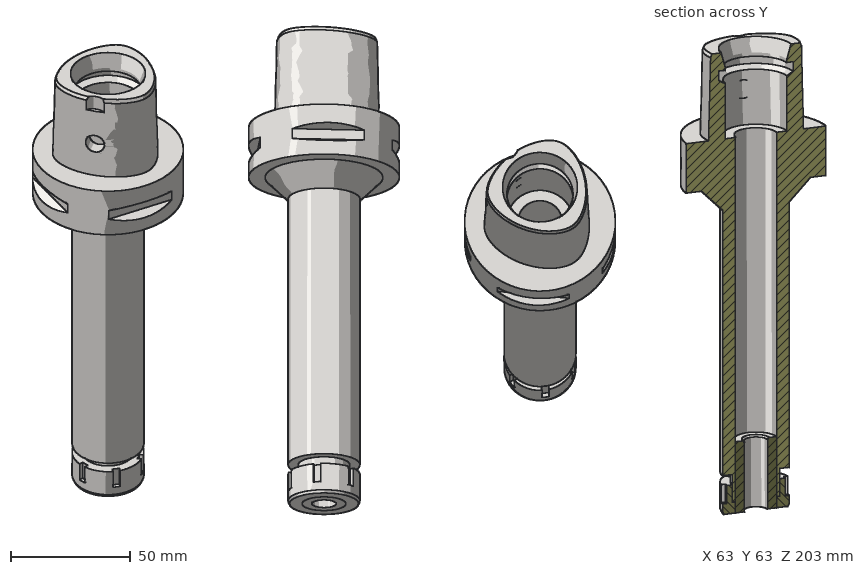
import cadquery as cq
import math

TOTAL_HEIGHT = 203.0
TAPER_LENGTH = 38.0
FLANGE_HEIGHT = 22.0
CONE_HEIGHT = 9.5
NUT_HEIGHT = 12.8
NECK_GAP = 4.3

FLANGE_BOTTOM = TOTAL_HEIGHT - TAPER_LENGTH - FLANGE_HEIGHT
FLANGE_TOP = FLANGE_BOTTOM + FLANGE_HEIGHT
SHANK_TOP = FLANGE_BOTTOM - CONE_HEIGHT
SHANK_BOTTOM = NUT_HEIGHT + NECK_GAP

FLANGE_RADIUS = 31.5
SHANK_RADIUS = 15.0
CONE_RADIUS = SHANK_RADIUS + CONE_HEIGHT
NECK_RADIUS = 10.8

LOBE_BASE_RADIUS = 22.0
LOBE_RISE = 1.5
TAPER_SLOPE = 1 / 40
RIM_CHAMFER_HEIGHT = 1.6
RIM_CHAMFER_WIDTH = 0.6
LOBE_POINTS = 48

MOUTH_RADIUS = 15.6
BORE_RADIUS = 13.8
MOUTH_CONE_DEPTH = 6.5
GROOVE_RADIUS = 16.6
GROOVE_TOP_DEPTH = 8.1
GROOVE_BOTTOM_DEPTH = 12.2
BORE_CONE_END_DEPTH = 13.8
BORE_DEPTH = TAPER_LENGTH
COLLET_RADIUS = 9.1

NOTCH_RADIUS = 5.9
NOTCH_HEIGHT = 6.3
NOTCH_FLOOR_Y = -17.9
PIN_HOLE_RADIUS = 4.0
PIN_HOLE_DROP = 22.3
PIN_HOLE_FLOOR_Y = -14.2

GRIP_COUNT = 4
GRIP_START_ANGLE = 45.0
GRIP_DEPTH = 3.9
GRIP_FLOOR_HEIGHT = 4.3
GRIP_FLARE = 1.8
GRIP_DROP = 12.0

NUT_RADIUS = SHANK_RADIUS
NUT_CHAMFER_HEIGHT = 1.2
NUT_CHAMFER_WIDTH = 0.6
NUT_FLOOR = 4.9
WRENCH_SLOT_COUNT = 6
WRENCH_SLOT_WIDTH = 3.0
WRENCH_SLOT_HEIGHT = 8.0
WRENCH_SLOT_DEPTH = 1.8

COLLET_LENGTH = 31.5
COLLET_BORE_RADIUS = 5.0
COLLET_BORE_CHAMFER = 0.8


def revolve_profile(points):
    """Turn a closed (radius, Z) outline about the Z axis."""
    return cq.Workplane("XZ").polyline(points).close().revolve(360, (0, 0), (0, 1))


def lobe_wire(mean_radius, z):
    """Three-lobed curve of constant width with one lobe pointing to +Y.

    The tangent line with normal angle a lies mean_radius + LOBE_RISE * cos(3 * (a - 90 deg))
    from the axis.
    """
    points = []
    for i in range(LOBE_POINTS):
        turn = 2 * math.pi * i / LOBE_POINTS
        angle = turn - math.pi / 2
        distance = mean_radius - LOBE_RISE * math.cos(3 * turn)
        distance_rate = 3 * LOBE_RISE * math.sin(3 * turn)
        x = distance * math.cos(angle) - distance_rate * math.sin(angle)
        y = distance * math.sin(angle) + distance_rate * math.cos(angle)
        points.append(cq.Vector(x, y, z))
    return cq.Wire.assembleEdges([cq.Edge.makeSpline(points, periodic=True)])


def make_taper():
    """Lobed taper above the flange, with its chamfered rim."""
    rim_z = TOTAL_HEIGHT - RIM_CHAMFER_HEIGHT
    rim_radius = LOBE_BASE_RADIUS - TAPER_SLOPE * (rim_z - FLANGE_TOP)
    wires = [
        lobe_wire(LOBE_BASE_RADIUS, FLANGE_TOP),
        lobe_wire(rim_radius, rim_z),
        lobe_wire(rim_radius - RIM_CHAMFER_WIDTH, TOTAL_HEIGHT),
    ]
    return cq.Workplane(obj=cq.Solid.makeLoft(wires, True))


def make_turned_outside():
    """Flange, cone, shank and the nose that enters the nut."""
    return revolve_profile([
        (0, NUT_FLOOR),
        (NECK_RADIUS, NUT_FLOOR),
        (NECK_RADIUS, SHANK_BOTTOM),
        (SHANK_RADIUS, SHANK_BOTTOM),
        (SHANK_RADIUS, SHANK_TOP),
        (CONE_RADIUS, FLANGE_BOTTOM),
        (FLANGE_RADIUS, FLANGE_BOTTOM),
        (FLANGE_RADIUS, FLANGE_TOP),
        (0, FLANGE_TOP),
    ])


def make_bore():
    """Stepped bore with a conical mouth and an undercut groove, open at both ends of the holder."""
    return revolve_profile([
        (0, TOTAL_HEIGHT),
        (MOUTH_RADIUS, TOTAL_HEIGHT),
        (BORE_RADIUS, TOTAL_HEIGHT - MOUTH_CONE_DEPTH),
        (BORE_RADIUS, TOTAL_HEIGHT - GROOVE_TOP_DEPTH),
        (GROOVE_RADIUS, TOTAL_HEIGHT - GROOVE_TOP_DEPTH),
        (GROOVE_RADIUS, TOTAL_HEIGHT - GROOVE_BOTTOM_DEPTH),
        (BORE_RADIUS, TOTAL_HEIGHT - BORE_CONE_END_DEPTH),
        (BORE_RADIUS, TOTAL_HEIGHT - BORE_DEPTH),
        (COLLET_RADIUS, TOTAL_HEIGHT - BORE_DEPTH),
        (COLLET_RADIUS, NUT_FLOOR),
        (0, NUT_FLOOR),
    ])


def make_notch():
    """Upright round-bottomed key notch, open at the top face."""
    return (
        cq.Workplane("XY", origin=(0, NOTCH_FLOOR_Y - NOTCH_RADIUS, TOTAL_HEIGHT - NOTCH_HEIGHT))
        .circle(NOTCH_RADIUS)
        .extrude(NOTCH_HEIGHT)
    )


def make_pin_hole():
    """Flat-bottomed hole into the -Y side of the taper."""
    return (
        cq.Workplane("XZ", origin=(0, PIN_HOLE_FLOOR_Y, TOTAL_HEIGHT - PIN_HOLE_DROP))
        .circle(PIN_HOLE_RADIUS)
        .extrude(FLANGE_RADIUS)
    )


def make_grip_slot(angle):
    """Straight slot with flared sides, cut across the flange rim at the given angle."""
    floor = GRIP_FLOOR_HEIGHT / 2
    rim = floor + GRIP_FLARE
    inner = FLANGE_RADIUS - GRIP_DEPTH
    center_z = FLANGE_TOP - GRIP_DROP
    slot = (
        cq.Workplane("XZ")
        .polyline([
            (inner, center_z - floor),
            (FLANGE_RADIUS, center_z - rim),
            (FLANGE_RADIUS, center_z + rim),
            (inner, center_z + floor),
        ])
        .close()
        .extrude(FLANGE_RADIUS, both=True)
    )
    return slot.rotate((0, 0, 0), (0, 0, 1), angle)


def make_holder():
    holder = make_turned_outside().union(make_taper())
    holder = holder.cut(make_bore()).cut(make_notch()).cut(make_pin_hole())
    for i in range(GRIP_COUNT):
        holder = holder.cut(make_grip_slot(GRIP_START_ANGLE + i * 360 / GRIP_COUNT))
    return holder


def make_nut():
    """Cap nut around the holder nose and the collet, with wrench slots from its top."""
    nut = revolve_profile([
        (COLLET_RADIUS, 0),
        (NUT_RADIUS - NUT_CHAMFER_WIDTH, 0),
        (NUT_RADIUS, NUT_CHAMFER_HEIGHT),
        (NUT_RADIUS, NUT_HEIGHT),
        (NECK_RADIUS, NUT_HEIGHT),
        (NECK_RADIUS, NUT_FLOOR),
        (COLLET_RADIUS, NUT_FLOOR),
    ])
    slot = (
        cq.Workplane("XY", origin=(NUT_RADIUS, 0, NUT_HEIGHT - WRENCH_SLOT_HEIGHT))
        .rect(2 * WRENCH_SLOT_DEPTH, WRENCH_SLOT_WIDTH)
        .extrude(WRENCH_SLOT_HEIGHT)
    )
    for i in range(WRENCH_SLOT_COUNT):
        nut = nut.cut(slot.rotate((0, 0, 0), (0, 0, 1), i * 360 / WRENCH_SLOT_COUNT))
    return nut


def make_collet():
    """Sleeve in the lower end of the holder bore, flush with the nut face."""
    return revolve_profile([
        (COLLET_BORE_RADIUS, 0),
        (COLLET_RADIUS, 0),
        (COLLET_RADIUS, COLLET_LENGTH),
        (COLLET_BORE_RADIUS + COLLET_BORE_CHAMFER, COLLET_LENGTH),
        (COLLET_BORE_RADIUS, COLLET_LENGTH - COLLET_BORE_CHAMFER),
    ])


holder = make_holder()
nut = make_nut()
collet = make_collet()

result = cq.Compound.makeCompound([holder.val(), nut.val(), collet.val()])